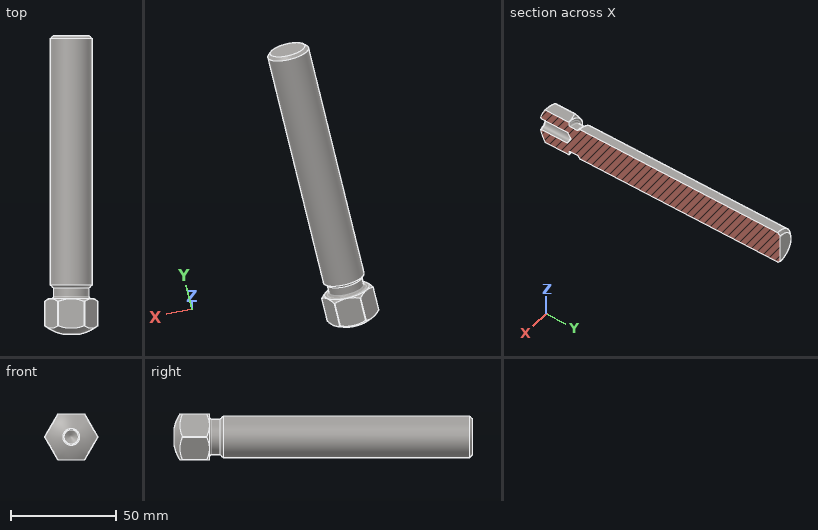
import cadquery as cq
import math

across_flats = 22.0
head_turned_radius = 12.6
head_underside_radius = 10.9
head_underside_chamfer = 1.3
head_length = 17.0
dome_radius = 20.0

overall_length = 141.98
shank_radius = 10.0
shank_chamfer = 1.5
neck_radius = 8.5
neck_length = 5.0
neck_fillet = 1.0

hole_radius = 3.4
hole_mouth_radius = 4.0
hole_depth = 16.0
drill_point_angle = 118.0


def dome_sag(radius):
    """Drop of the dome below its apex at a distance from the axis."""
    return dome_radius - math.sqrt(dome_radius**2 - radius**2)


shank_end = overall_length - head_length
rim_y = -head_length
apex_y = rim_y - dome_sag(hole_mouth_radius)


def make_head():
    """Hexagon prism trimmed by a turned envelope with a domed end."""
    across_corners = across_flats / math.cos(math.pi / 6)
    hexagon = (
        cq.Workplane("XZ")
        .polygon(6, across_corners)
        .extrude(-apex_y)
    )
    dome_middle_radius = head_turned_radius / 2
    envelope = (
        cq.Workplane("XY")
        .moveTo(0, 0)
        .lineTo(head_underside_radius, 0)
        .lineTo(head_turned_radius, -head_underside_chamfer)
        .lineTo(head_turned_radius, apex_y + dome_sag(head_turned_radius))
        .threePointArc((dome_middle_radius, apex_y + dome_sag(dome_middle_radius)), (0, apex_y))
        .close()
        .revolve(360, (0, 0), (0, 1))
    )
    return hexagon.intersect(envelope)


def make_shank():
    """Turned shank with chamfered ends and a neck filleted into the head."""
    shoulder_length = shank_radius - neck_radius
    return (
        cq.Workplane("XY")
        .moveTo(0, 0)
        .lineTo(neck_radius + neck_fillet, 0)
        .radiusArc((neck_radius, neck_fillet), neck_fillet)
        .lineTo(neck_radius, neck_length)
        .lineTo(shank_radius, neck_length + shoulder_length)
        .lineTo(shank_radius, shank_end - shank_chamfer)
        .lineTo(shank_radius - shank_chamfer, shank_end)
        .lineTo(0, shank_end)
        .close()
        .revolve(360, (0, 0), (0, 1))
    )


def make_hole():
    """Countersunk drilled hole with a conical bottom."""
    countersink_depth = hole_mouth_radius - hole_radius
    bottom_y = rim_y + hole_depth
    point_length = hole_radius / math.tan(math.radians(drill_point_angle / 2))
    return (
        cq.Workplane("XY")
        .moveTo(0, apex_y)
        .lineTo(hole_mouth_radius, apex_y)
        .lineTo(hole_mouth_radius, rim_y)
        .lineTo(hole_radius, rim_y + countersink_depth)
        .lineTo(hole_radius, bottom_y)
        .lineTo(0, bottom_y + point_length)
        .close()
        .revolve(360, (0, 0), (0, 1))
    )


result = make_head().union(make_shank()).cut(make_hole())